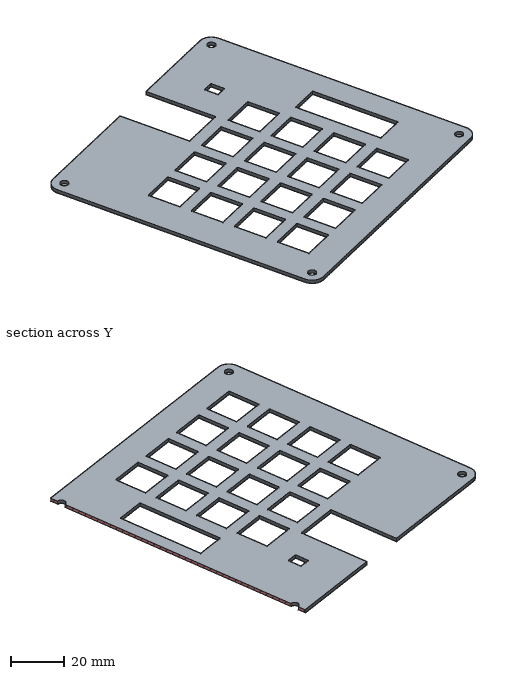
import cadquery as cq

plate_width = 119.8
plate_depth = 115.3
thickness = 1.5
corner_radius = 5.0

mount_diameter = 3.4
mount_inset = corner_radius

key_size = 14.0
key_pitch = 19.0
keys_per_side = 4
key_grid_center = (11.7, -7.1)

display_width = 37.8
display_depth = 12.2
display_center = (12.2, 41.1)

indicator_width = 6.0
indicator_depth = 4.5
indicator_center = (-38.8, 28.9)

notch_length = 30.8
notch_width = 18.6
notch_center_y = 4.7


def through_box(width, depth, center):
    """Rectangular cutter spanning the full plate thickness."""
    return cq.Workplane("XY").center(*center).rect(width, depth).extrude(thickness)


def make_plate():
    """Rectangular plate with rounded vertical corners."""
    plate = through_box(plate_width, plate_depth, (0, 0))
    return plate.edges("|Z").fillet(corner_radius)


def mount_holes():
    """One round cutter at each corner."""
    spacing_x = plate_width - 2 * mount_inset
    spacing_y = plate_depth - 2 * mount_inset
    corners = cq.Workplane("XY").rarray(spacing_x, spacing_y, 2, 2)
    return corners.circle(mount_diameter / 2).extrude(thickness)


def key_openings():
    """Grid of square cutters for the key switches."""
    grid = cq.Workplane("XY").center(*key_grid_center)
    grid = grid.rarray(key_pitch, key_pitch, keys_per_side, keys_per_side)
    return grid.rect(key_size, key_size).extrude(thickness)


def edge_notch():
    """Rectangular cutter reaching in from the left edge."""
    center_x = (notch_length - plate_width) / 2
    return through_box(notch_length, notch_width, (center_x, notch_center_y))


result = (
    make_plate()
    .cut(mount_holes())
    .cut(key_openings())
    .cut(through_box(display_width, display_depth, display_center))
    .cut(through_box(indicator_width, indicator_depth, indicator_center))
    .cut(edge_notch())
)